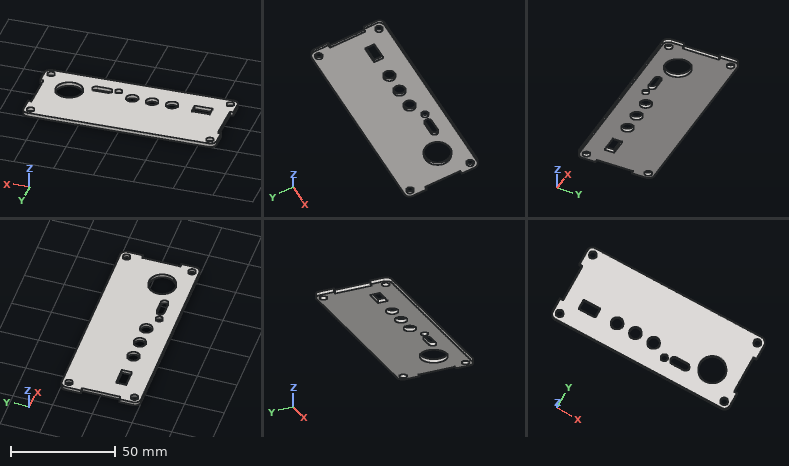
import cadquery as cq

length = 97.0
width = 40.0
thickness = 2.0
corner_radius = 3.0

screw_diameter = 3.7
screw_inset = 3.5

notch_depth = 1.65
notch_top = 9.3
notch_bottom = -10.0

window_length = 9.0
window_width = 5.0
window_center = (-33.7, -7.6)

row_diameter = 6.0
row_pitch = 10.0
row_center = (-8.5, -7.5)
row_count = 3

small_diameter = 3.5
small_center = (9.5, -11.4)
slot_length = 10.0
slot_width = 3.8
slot_center = (17.5, -10.5)
large_diameter = 13.5
large_center = (32.5, -5.5)


def make_plate():
    """Flat plate with rounded corners, resting on Z = 0."""
    plate = cq.Workplane("XY").box(length, width, thickness, centered=(True, True, False))
    return plate.edges("|Z").fillet(corner_radius)


def cut_end_notches(plate):
    """Shallow rectangular notch in each short end."""
    notch_center_y = (notch_top + notch_bottom) / 2
    return (
        plate.faces(">Z").workplane(origin=(0, 0, 0))
        .pushPoints([(side * length / 2, notch_center_y) for side in (-1, 1)])
        .rect(2 * notch_depth, notch_top - notch_bottom)
        .cutThruAll()
    )


def cut_holes(plate, centers, diameter):
    """Round through holes of one diameter."""
    return plate.faces(">Z").workplane(origin=(0, 0, 0)).pushPoints(centers).circle(diameter / 2).cutThruAll()


def cut_window(plate):
    """Rectangular through opening."""
    return (
        plate.faces(">Z").workplane(origin=(0, 0, 0))
        .center(*window_center)
        .rect(window_length, window_width)
        .cutThruAll()
    )


def cut_slot(plate):
    """Round-ended through slot along X."""
    return (
        plate.faces(">Z").workplane(origin=(0, 0, 0))
        .center(*slot_center)
        .slot2D(slot_length, slot_width)
        .cutThruAll()
    )


screw_x = length / 2 - screw_inset
screw_y = width / 2 - screw_inset
screw_centers = [(sx * screw_x, sy * screw_y) for sx in (-1, 1) for sy in (-1, 1)]

row_centers = [
    (row_center[0] + (i - (row_count - 1) / 2) * row_pitch, row_center[1])
    for i in range(row_count)
]

result = make_plate()
result = cut_end_notches(result)
result = cut_holes(result, screw_centers, screw_diameter)
result = cut_window(result)
result = cut_holes(result, row_centers, row_diameter)
result = cut_holes(result, [small_center], small_diameter)
result = cut_slot(result)
result = cut_holes(result, [large_center], large_diameter)